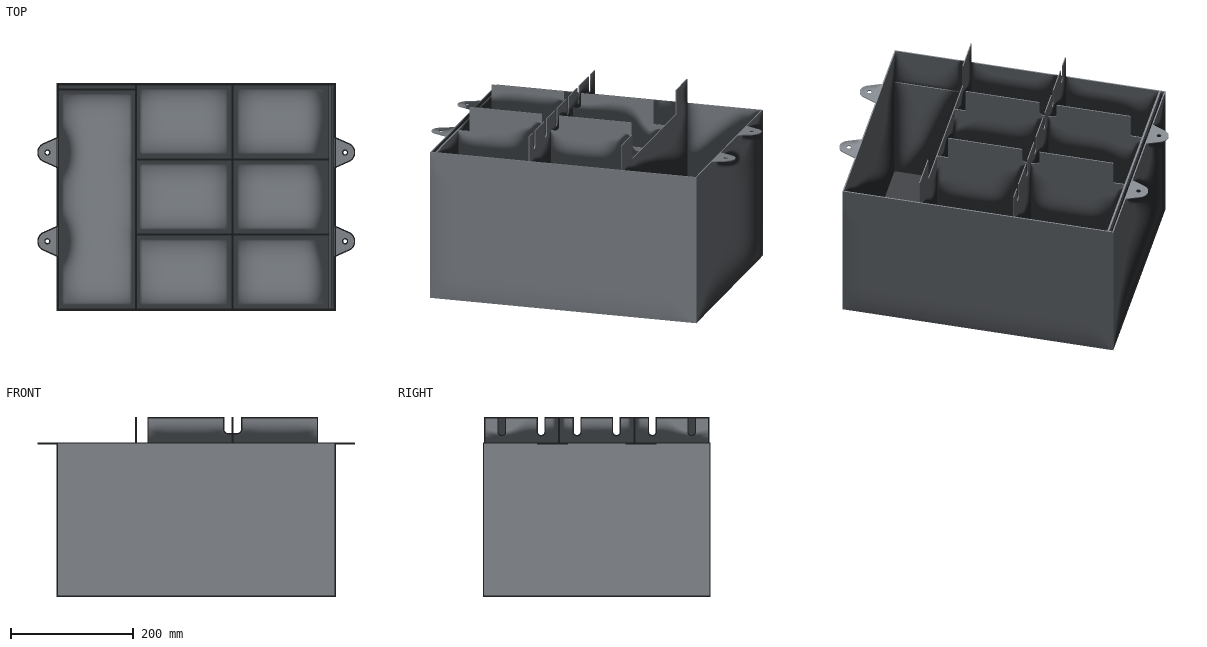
import cadquery as cq
import math

LENGTH = 516
BOX_X, BOX_Y, BOX_Z = 453.0, 369.0, 250.0
WALL = 2.0
EAR_SHEET = 1.5
EAR_LENGTH = (LENGTH - BOX_X) / 2
EAR_RADIUS = EAR_LENGTH / 2
EAR_HALF_WIDTH = 24.0
EAR_Y = 72.0
EAR_HOLE = 7.5

SHEET = 1.5
TOP_Z = 291.0
END_X = -98.0
BAY_X = 157.5
MIDDLE_X = END_X + BAY_X
INSIDE_Y = BOX_Y - 2 * WALL
BAY_Y = (BOX_Y - SHEET) / 3
CROSS_Y = BAY_Y / 2
TAB_WIDTH = INSIDE_Y / 2 - BAY_Y

SLOT_WIDTH = 12.5
SLOT_DEPTH = 29.5
SLOT_OFFSET = 32.0
NOTCH_WIDTH = 29.0
NOTCH_DEPTH = 26.5
NOTCH_RADIUS = 7.0
CROSS_SHOULDER = 18.5
LAP_Z = (WALL + BOX_Z) / 2

RIGHT_LINER_X = END_X + 2 * BAY_X - SHEET / 2
RIGHT_LINER_SHEET = 3.0
BACK_LINER_GAP = 6.5
BACK_LINER_DROP = 59.5


def block(x_range, y_range, z_range):
    corner = cq.Vector(x_range[0], y_range[0], z_range[0])
    size = cq.Vector(x_range[1], y_range[1], z_range[1]) - corner
    return cq.Workplane(cq.Solid.makeBox(size.x, size.y, size.z, corner))


def centred(middle, size):
    return (middle - size / 2, middle + size / 2)


def make_ear(side, y):
    """Flat ear with straight flanks that run tangent into the rounded tip."""
    flank = math.hypot(EAR_RADIUS, EAR_HALF_WIDTH)
    angle = math.atan2(EAR_HALF_WIDTH, -EAR_RADIUS) - math.acos(EAR_RADIUS / flank)
    tangent_x = EAR_RADIUS * (1 + math.cos(angle))
    tangent_y = EAR_RADIUS * math.sin(angle)
    ear = (
        cq.Workplane("XY")
        .moveTo(0, -EAR_HALF_WIDTH)
        .lineTo(tangent_x, -tangent_y)
        .threePointArc((EAR_LENGTH, 0), (tangent_x, tangent_y))
        .lineTo(0, EAR_HALF_WIDTH)
        .close()
        .moveTo(EAR_RADIUS, 0)
        .circle(EAR_HOLE / 2)
        .extrude(EAR_SHEET)
    )
    if side < 0:
        ear = ear.mirror("YZ")
    return ear.translate((side * BOX_X / 2, y, BOX_Z - EAR_SHEET))


def make_housing():
    outside = block(centred(0, BOX_X), centred(0, BOX_Y), (0, BOX_Z))
    inside = block(centred(0, BOX_X - 2 * WALL), centred(0, INSIDE_Y), (WALL, BOX_Z))
    housing = outside.cut(inside)
    for side in (-1, 1):
        for y in (-EAR_Y, EAR_Y):
            housing = housing.union(make_ear(side, y))
    return housing


def make_end_divider():
    return block(centred(END_X, SHEET), centred(0, INSIDE_Y), (WALL, BOX_Z))


def make_tab(side):
    y = side * (INSIDE_Y - TAB_WIDTH) / 2
    return block(centred(END_X, SHEET), centred(y, TAB_WIDTH), (BOX_Z, TOP_Z))


def make_slot(y):
    bottom_z = TOP_Z - SLOT_DEPTH + SLOT_WIDTH / 2
    slot = block(centred(MIDDLE_X, SHEET), centred(y, SLOT_WIDTH), (bottom_z, TOP_Z))
    end = cq.Workplane("YZ", origin=(MIDDLE_X, y, bottom_z)).circle(SLOT_WIDTH / 2).extrude(SHEET / 2, both=True)
    return slot.union(end)


def make_middle_divider():
    divider = block(centred(MIDDLE_X, SHEET), centred(0, INSIDE_Y), (WALL, TOP_Z))
    for bay in (-1, 0, 1):
        for side in (-1, 1):
            divider = divider.cut(make_slot(bay * BAY_Y + side * SLOT_OFFSET))
    for side in (-1, 1):
        divider = divider.cut(block(centred(MIDDLE_X, SHEET), centred(side * CROSS_Y, SHEET), (WALL, LAP_Z)))
    return divider


def make_cross_divider(y):
    start, end = END_X + SHEET / 2, RIGHT_LINER_X
    thick = centred(y, SHEET)
    divider = block((start, end), thick, (WALL, BOX_Z)).union(
        block((start + CROSS_SHOULDER, end - CROSS_SHOULDER), thick, (BOX_Z, TOP_Z))
    )
    notch = block(centred(MIDDLE_X, NOTCH_WIDTH), thick, (TOP_Z - NOTCH_DEPTH, TOP_Z))
    notch = notch.edges("|Y and <Z").fillet(NOTCH_RADIUS)
    halving = block(centred(MIDDLE_X, SHEET), thick, (LAP_Z, TOP_Z))
    return divider.cut(notch).cut(halving)


def make_right_liner():
    x_range = (RIGHT_LINER_X, RIGHT_LINER_X + RIGHT_LINER_SHEET)
    return block(x_range, centred(0, INSIDE_Y), (WALL, BOX_Z))


def make_back_liner():
    x_range = (-BOX_X / 2 + WALL, END_X - SHEET / 2)
    back = INSIDE_Y / 2 - BACK_LINER_GAP
    return block(x_range, (back - SHEET, back), (WALL, BOX_Z - BACK_LINER_DROP))


housing = make_housing()
end_divider = make_end_divider()
tabs = [make_tab(side) for side in (-1, 1)]
middle_divider = make_middle_divider()
cross_dividers = [make_cross_divider(side * CROSS_Y) for side in (-1, 1)]
right_liner = make_right_liner()
back_liner = make_back_liner()

bodies = [housing, end_divider, *tabs, middle_divider, *cross_dividers, right_liner, back_liner]
result = cq.Compound.makeCompound([body.val() for body in bodies])